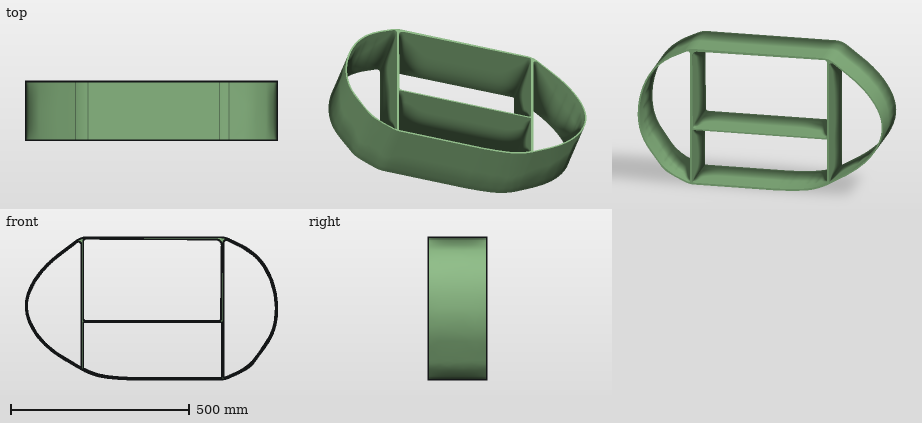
import cadquery as cq
import math

LENGTH = 705.4
WIDTH = 165.0
HEIGHT = 400.0
HALF_LENGTH = LENGTH / 2
HALF_HEIGHT = HEIGHT / 2

NOSE_SKIN = 4.1
TAIL_SKIN = 4.6
FLOOR = 5.5
SPAR = 6.0
SHELF = 4.2

ROOF_LEFT = -178.0
ROOF_RIGHT = 190.0
FLOOR_LEFT = -48.0

NOSE_SHOULDER_RADIUS = 56.0
NOSE_SHOULDER_ANGLE = 39.0
TAIL_SHOULDER_RADIUS = 65.0
TAIL_SHOULDER_ANGLE = 23.5

NOSE_TIP_Z = 7.0
NOSE_UPPER = [(-316.0, 97.5), (-263.5, 149.6)]
NOSE_LOWER = [(-269.7, -126.5), (-322.5, -75.5)]
KEEL_END = (-199.0, -169.5)
KEEL_MIDDLE = [(-106.0, -196.6), (-151.0, -189.7)]
KEEL_SLOPE_ANGLE = 30.0
TAIL_TIP_Z = 1.0
TAIL_UPPER = (300.7, 141.5)
TAIL_LOWER = [(328.7, -92.5), (295.5, -138.3)]

INSET_STEPS = 12

LEFT_SPAR_INNER = -190.9
LEFT_SPAR_OUTER = LEFT_SPAR_INNER - SPAR
RIGHT_SPAR_INNER = 196.3
RIGHT_SPAR_OUTER = RIGHT_SPAR_INNER + SPAR
SHELF_TOP = -35.1
SHELF_BOTTOM = SHELF_TOP - SHELF

BAY_ROOF_LEFT_Z = 194.8
BAY_ROOF_RIGHT_Z = 192.6
BAY_RIGHT_LEAN = 2.2

BAY_RADIUS = 6.0
BAY_ROOF_RIGHT_RADIUS = 14.0
NOSE_CORNER_RADIUS = 8.0
TAIL_CORNER_RADIUS = 7.0
SMALL_RADIUS = 2.0


def section_plane():
    """XZ plane on the +Y side, from which every profile is extruded toward -Y."""
    return cq.Workplane("XZ", origin=(0, WIDTH / 2, 0))


def direction(angle):
    """Unit vector at an angle in degrees from +X toward +Z."""
    return (math.cos(math.radians(angle)), math.sin(math.radians(angle)))


def bend_point(x, radius, side, angle, wall):
    """Point on a shoulder, one wall inside the shell, turned by an angle from the crown at x.

    The side is +1 for a shoulder that falls toward +X and -1 for one that falls toward -X.
    """
    turn = math.radians(angle)
    reach = radius - wall
    return (x + side * reach * math.sin(turn), HALF_HEIGHT - radius + reach * math.cos(turn))


def mirrored(point):
    return (point[0], -point[1])


def line(start, end):
    return cq.Edge.makeLine(cq.Vector(*start), cq.Vector(*end))


def shoulder(x, radius, side, angle, wall):
    """Arc that bends down from the roof at x."""
    points = [bend_point(x, radius, side, angle * part, wall) for part in (0, 0.5, 1)]
    return cq.Edge.makeThreePointArc(*[cq.Vector(*point) for point in points])


def free_curve(points, start_angle, end_angle, wall):
    """Smooth curve through the points, moved to its right-hand side by the wall."""
    ends = [cq.Vector(*direction(angle)) for angle in (start_angle, end_angle)]
    curve = cq.Edge.makeSpline([cq.Vector(*point) for point in points], tangents=ends)
    if wall == 0:
        return curve
    inset = []
    for step in range(INSET_STEPS + 1):
        position = step / INSET_STEPS
        tangent = curve.tangentAt(position)
        inset.append(curve.positionAt(position) + cq.Vector(tangent.y, -tangent.x) * wall)
    return cq.Edge.makeSpline(inset, tangents=ends)


def shell_body(wall=0):
    """Solid bounded by the shell's outline moved inward by the wall, run clockwise in XZ."""
    roof = HALF_HEIGHT - wall
    tail_shoulder = (ROOF_RIGHT, TAIL_SHOULDER_RADIUS, 1, TAIL_SHOULDER_ANGLE)
    nose_shoulder = (ROOF_LEFT, NOSE_SHOULDER_RADIUS, -1, NOSE_SHOULDER_ANGLE)
    tail_start = bend_point(*tail_shoulder, 0)
    nose_end = bend_point(*nose_shoulder, 0)
    tail_points = [tail_start, TAIL_UPPER, (HALF_LENGTH, TAIL_TIP_Z), *TAIL_LOWER, mirrored(tail_start)]
    keel_points = [(FLOOR_LEFT, -HALF_HEIGHT), *KEEL_MIDDLE, KEEL_END]
    nose_points = [KEEL_END, *NOSE_LOWER, (-HALF_LENGTH, NOSE_TIP_Z), *NOSE_UPPER, nose_end]
    keel_angle = 180 - KEEL_SLOPE_ANGLE
    upper_tail_shoulder = shoulder(*tail_shoulder, wall)
    edges = [
        line((ROOF_LEFT, roof), (ROOF_RIGHT, roof)),
        upper_tail_shoulder,
        free_curve(tail_points, -TAIL_SHOULDER_ANGLE, 180 + TAIL_SHOULDER_ANGLE, wall),
        upper_tail_shoulder.mirror("XZ"),
        line((ROOF_RIGHT, -roof), (FLOOR_LEFT, -roof)),
        free_curve(keel_points, 180, keel_angle, wall),
        free_curve(nose_points, keel_angle, NOSE_SHOULDER_ANGLE, wall),
        shoulder(*nose_shoulder, wall),
    ]
    outline = cq.Wire.assembleEdges(edges)
    plane = section_plane()
    return plane.newObject([outline.moved(plane.plane.location)]).toPending().extrude(WIDTH)


def window(left, right, bottom, top):
    """Block through the full width that bounds one bay."""
    return (
        section_plane()
        .moveTo((left + right) / 2, (bottom + top) / 2)
        .rect(right - left, top - bottom)
        .extrude(WIDTH)
    )


def round_corner(body, x, z, radius):
    """Round the edge along Y that lies nearest to (x, z)."""
    return body.edges("|Y").edges(cq.selectors.NearestToPointSelector((x, 0, z))).fillet(radius)


def nose_bay():
    bay = shell_body(NOSE_SKIN).intersect(window(-LENGTH, LEFT_SPAR_OUTER, -HEIGHT, HEIGHT))
    return round_corner(bay, LEFT_SPAR_OUTER, HALF_HEIGHT, NOSE_CORNER_RADIUS)


def tail_bay():
    bay = shell_body(TAIL_SKIN).intersect(window(RIGHT_SPAR_OUTER, LENGTH, -HEIGHT, HEIGHT))
    bay = round_corner(bay, RIGHT_SPAR_OUTER, HALF_HEIGHT, TAIL_CORNER_RADIUS)
    return round_corner(bay, RIGHT_SPAR_OUTER, -HALF_HEIGHT, SMALL_RADIUS)


def upper_bay():
    shelf_right = RIGHT_SPAR_INNER - BAY_RIGHT_LEAN
    corners = [
        (LEFT_SPAR_INNER, SHELF_TOP, BAY_RADIUS),
        (shelf_right, SHELF_TOP, BAY_RADIUS),
        (RIGHT_SPAR_INNER, BAY_ROOF_RIGHT_Z, BAY_ROOF_RIGHT_RADIUS),
        (LEFT_SPAR_INNER, BAY_ROOF_LEFT_Z, BAY_RADIUS),
    ]
    outline = [(x, z) for x, z, radius in corners]
    bay = section_plane().polyline(outline).close().extrude(WIDTH)
    for x, z, radius in corners:
        bay = round_corner(bay, x, z, radius)
    return bay


def lower_bay():
    return shell_body(FLOOR).intersect(window(LEFT_SPAR_INNER, RIGHT_SPAR_INNER, -HEIGHT, SHELF_BOTTOM))


result = shell_body()
for bay in (nose_bay(), tail_bay(), upper_bay(), lower_bay()):
    result = result.cut(bay)